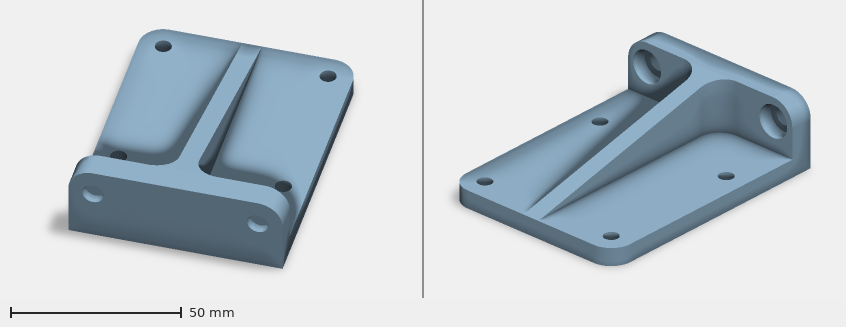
import cadquery as cq

width = 65.0
length = 86.0
height = 24.0
plate_thickness = 6.0
wall_thickness = 8.0
corner_radius = 7.5

rib_thickness = 6.0
rib_fillet_radius = 7.5

hole_spacing = 50.0
plate_hole_diameter = 5.0
wall_hole_diameter = 6.5
hole_edge_distance = (width - hole_spacing) / 2
wall_hole_height = 16.0
counterbore_diameter = 11.0
counterbore_depth = 5.0



def make_plate():
    """Base plate with two rounded rear corners."""
    plate = cq.Workplane("XY").box(width, length, plate_thickness, centered=(True, False, False))
    return plate.edges("|Z and >Y").fillet(corner_radius)


def make_wall():
    """Upright front wall with two rounded top corners."""
    wall = cq.Workplane("XY").box(width, wall_thickness, height, centered=(True, False, False))
    return wall.edges("|Y and >Z").fillet(corner_radius)


def make_rib():
    """Central rib, flared by fillets at the wall and sloping down to the plate's rear edge."""
    half_rib = rib_thickness / 2
    half_flare = half_rib + rib_fillet_radius
    flare_end = wall_thickness + rib_fillet_radius
    plan = (
        cq.Workplane("XY")
        .moveTo(-half_flare, wall_thickness)
        .lineTo(half_flare, wall_thickness)
        .radiusArc((half_rib, flare_end), rib_fillet_radius)
        .lineTo(half_rib, length)
        .lineTo(-half_rib, length)
        .lineTo(-half_rib, flare_end)
        .radiusArc((-half_flare, wall_thickness), rib_fillet_radius)
        .close()
        .extrude(height)
    )
    wedge = (
        cq.Workplane("YZ")
        .polyline([
            (wall_thickness, 0),
            (length, 0),
            (length, plate_thickness),
            (wall_thickness, height),
        ])
        .close()
        .extrude(half_flare, both=True)
    )
    return plan.intersect(wedge)


def make_plate_holes():
    """Four vertical holes in a square pattern, set in from the rear edge."""
    rear_row = length - hole_edge_distance
    centers = [
        (side * hole_spacing / 2, row)
        for side in (-1, 1)
        for row in (rear_row, rear_row - hole_spacing)
    ]
    return cq.Workplane("XY").pushPoints(centers).circle(plate_hole_diameter / 2).extrude(plate_thickness)


def make_wall_holes():
    """Two holes through the wall along Y, counterbored from the rear face of the wall."""
    centers = [(side * hole_spacing / 2, wall_hole_height) for side in (-1, 1)]
    rear_face = cq.Workplane("XZ", origin=(0, wall_thickness, 0)).pushPoints(centers)
    bores = rear_face.circle(wall_hole_diameter / 2).extrude(wall_thickness)
    counterbores = rear_face.circle(counterbore_diameter / 2).extrude(counterbore_depth)
    return bores.union(counterbores)


body = make_plate().union(make_wall()).union(make_rib())
result = body.cut(make_plate_holes()).cut(make_wall_holes())